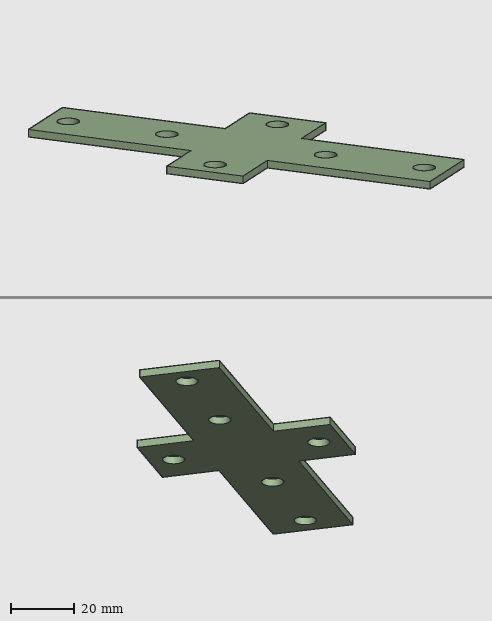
import cadquery as cq

length = 139.0
cross_length = 64.0
thickness = 2.5
arm_width = 26.4

hole_diameter = 7.1
end_inset = 7.9
inner_spacing = 54.9

long_bar = cq.Workplane("XY").box(length, arm_width, thickness)
cross_bar = cq.Workplane("XY").box(arm_width, cross_length, thickness)
plate = long_bar.union(cross_bar)

hole_centers = []
for side in (-1, 1):
    hole_centers.append((side * (length / 2 - end_inset), 0))
    hole_centers.append((side * inner_spacing / 2, 0))
    hole_centers.append((0, side * (cross_length / 2 - end_inset)))

result = plate.faces(">Z").workplane(origin=(0, 0, 0)).pushPoints(hole_centers).hole(hole_diameter)